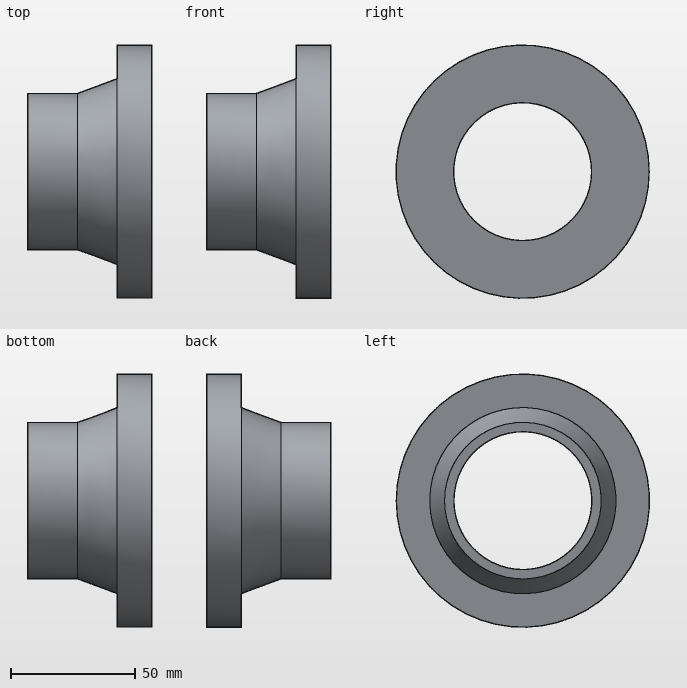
import cadquery as cq

flange_diameter = 102.0
pipe_diameter = 63.0
bore_diameter = 55.4
neck_base_diameter = 75.0

pipe_length = 20.0
neck_length = 16.0
flange_thickness = 14.0

neck_start = pipe_length
flange_start = neck_start + neck_length
total_length = flange_start + flange_thickness

half_section = (
    cq.Workplane("XY")
    .moveTo(0, bore_diameter / 2)
    .lineTo(0, pipe_diameter / 2)
    .lineTo(neck_start, pipe_diameter / 2)
    .lineTo(flange_start, neck_base_diameter / 2)
    .lineTo(flange_start, flange_diameter / 2)
    .lineTo(total_length, flange_diameter / 2)
    .lineTo(total_length, bore_diameter / 2)
    .close()
)

result = half_section.revolve(360, (0, 0, 0), (1, 0, 0))